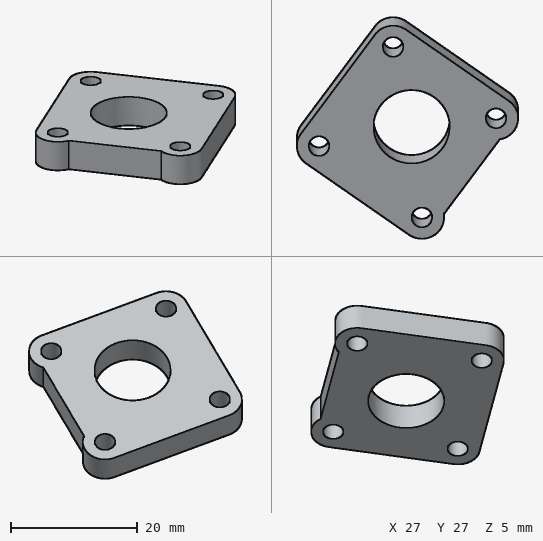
import cadquery as cq

thickness = 5.0
hole_spacing = 20.0
corner_radius = 3.5
screw_hole_diameter = 3.2
bore_diameter = 12.0
bore_offset_x = -1.1
front_recess = 1.0

plate_size = hole_spacing + 2 * corner_radius
half_plate = plate_size / 2


def make_plate():
    """Square plate with rounded corners and its front edge set back."""
    plate = cq.Workplane("XY").box(plate_size, plate_size, thickness, centered=(True, True, False))
    plate = plate.edges("|Z").fillet(corner_radius)
    recess = (
        cq.Workplane("XY")
        .center(0, -half_plate + front_recess / 2)
        .rect(plate_size, front_recess)
        .extrude(thickness)
    )
    return plate.cut(recess)


def add_corner_lobes(plate):
    """Full round lobes that keep the two front corners proud of the recessed edge."""
    half_spacing = hole_spacing / 2
    lobes = (
        cq.Workplane("XY")
        .pushPoints([(side * half_spacing, -half_spacing) for side in (-1, 1)])
        .circle(corner_radius)
        .extrude(thickness)
    )
    return plate.union(lobes)


def cut_screw_holes(plate):
    """Four through holes, concentric with the rounded corners."""
    holes = (
        cq.Workplane("XY")
        .rarray(hole_spacing, hole_spacing, 2, 2)
        .circle(screw_hole_diameter / 2)
        .extrude(thickness)
    )
    return plate.cut(holes)


def cut_bore(plate):
    """Large through bore, shifted toward -X from the plate centre."""
    bore = cq.Workplane("XY").center(bore_offset_x, 0).circle(bore_diameter / 2).extrude(thickness)
    return plate.cut(bore)


result = cut_bore(cut_screw_holes(add_corner_lobes(make_plate())))